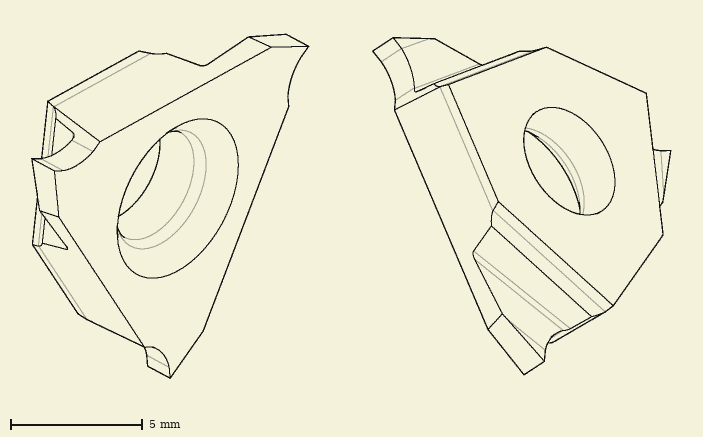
import cadquery as cq
import math

TOOTH_COUNT = 3
THICKNESS = 3.19
WIDTH = 13.79
HEIGHT = 12.69
HOLE_RADIUS = 2.26
SEAT_LEAD_START_DEPTH = 1.82
SEAT_LEAD_END_DEPTH = 2.29
SEAT_ANGLE = 43.0
MARGIN = 4.14

SIN_60 = math.sin(math.radians(60))
TIP_ACROSS = 6.69
TIP_UP = (WIDTH - 1.5 * TIP_ACROSS) / SIN_60
LOWEST_TIP_DROP = TIP_ACROSS * SIN_60 + TIP_UP / 2
SIDE_DISTANCE = HEIGHT - LOWEST_TIP_DROP
END_FACE_ANGLE = 6.2

STRAIGHT_DEPTH = 0.44
SIDE_RELIEF = 4.3

FLANK_START = (3.93, SIDE_DISTANCE)
FLANK_ARC_START = (4.59, 4.25)
FLANK_ARC_MIDDLE = (5.46, 4.03)
FLANK_ARC_END = (6.2, 4.12)

STEP_LEAN = 7.8
STEP_START_ACROSS = 3.82
BEVEL_END = (0.11, 0.41)
SHOULDER_MIDDLE = (0.2, 0.63)
SHOULDER_END = (0.37, 0.83)
WALL_SLOPE = 0.12
FLOOR_CORNER_RADIUS = 0.17

TIP_DEPTH = 1.92
LAND_START = 2.28
RAKE_SLOPE = 0.06
FLOOR_SINK_ANGLE = 4.0


def make_blank():
    """Triangular body with tapered sides and flat top."""
    def triangle(depth):
        return (
            cq.Workplane("YZ", origin=(depth, 0, 0))
            .transformed(rotate=(0, 0, -90))
            .polygon(TOOTH_COUNT, 4 * SIDE_DISTANCE)
        )

    front = triangle(0).extrude(STRAIGHT_DEPTH)
    back = triangle(STRAIGHT_DEPTH).extrude(THICKNESS - STRAIGHT_DEPTH, taper=SIDE_RELIEF)
    return front.union(back)


def yz(point):
    """Section coordinates (across, up) to workplane (Y, Z)."""
    return -point[0], point[1]


def make_corner_cutter():
    """Removes the triangle corner outside the tooth flank and end face."""
    run_down = TIP_UP + MARGIN
    end_across = TIP_ACROSS - run_down * math.tan(math.radians(END_FACE_ANGLE))
    far = TIP_ACROSS + 2 * MARGIN
    return (
        cq.Workplane("YZ")
        .moveTo(*yz(FLANK_START))
        .lineTo(*yz(FLANK_ARC_START))
        .threePointArc(yz(FLANK_ARC_MIDDLE), yz(FLANK_ARC_END))
        .lineTo(*yz((TIP_ACROSS, TIP_UP)))
        .lineTo(*yz((end_across, -MARGIN)))
        .lineTo(*yz((far, -MARGIN)))
        .lineTo(*yz((far, SIDE_DISTANCE + MARGIN)))
        .lineTo(*yz((FLANK_START[0], SIDE_DISTANCE + MARGIN)))
        .close()
        .extrude(THICKNESS)
    )


def make_step_cutter():
    """Removes the front of the tooth down to its wall and rake floor."""
    outer = LAND_START + MARGIN
    length = 2 * (SIDE_DISTANCE + MARGIN)
    wall_end = SHOULDER_END[0] + WALL_SLOPE * (THICKNESS - SHOULDER_END[1])
    walls = (
        cq.Workplane("XY", origin=(0, 0, -length / 2))
        .moveTo(0, 0)
        .lineTo(*BEVEL_END)
        .threePointArc(SHOULDER_MIDDLE, SHOULDER_END)
        .lineTo(wall_end, THICKNESS)
        .lineTo(outer, THICKNESS)
        .lineTo(outer, 0)
        .close()
        .extrude(length)
    )
    inner = -MARGIN
    above_floor = (
        cq.Workplane("XY", origin=(0, 0, -length / 2))
        .moveTo(inner, -MARGIN)
        .lineTo(inner, TIP_DEPTH + RAKE_SLOPE * (LAND_START - inner))
        .lineTo(LAND_START, TIP_DEPTH)
        .lineTo(outer, TIP_DEPTH)
        .lineTo(outer, -MARGIN)
        .close()
        .extrude(length)
        .rotate((0, TIP_DEPTH, 0), (1, TIP_DEPTH, 0), FLOOR_SINK_ANGLE)
    )
    corner = (wall_end, TIP_DEPTH, 0)
    cutter = (
        walls.intersect(above_floor)
        .edges(cq.selectors.NearestToPointSelector(corner))
        .fillet(FLOOR_CORNER_RADIUS)
    )
    start = cq.Vector(0, -STEP_START_ACROSS, SIDE_DISTANCE)
    placement = cq.Plane(origin=start, xDir=(0, -1, 0), normal=(0, 0, 1))
    placed = cq.Workplane(cutter.val().moved(cq.Location(placement)))
    return placed.rotate(start, start + cq.Vector(0.14, 0, 0), -STEP_LEAN)


def make_hole():
    """Through hole with a rounded lead into a conical screw seat at the back."""
    lead_run = SEAT_LEAD_END_DEPTH - SEAT_LEAD_START_DEPTH
    half_angle = math.radians(SEAT_ANGLE / 2)
    lead_end_radius = HOLE_RADIUS + lead_run * math.tan(half_angle)
    cone_run = THICKNESS - SEAT_LEAD_END_DEPTH
    seat_radius = lead_end_radius + cone_run * math.tan(2 * half_angle)
    return (
        cq.Workplane("XY")
        .lineTo(0, HOLE_RADIUS)
        .lineTo(SEAT_LEAD_START_DEPTH, HOLE_RADIUS)
        .tangentArcPoint((SEAT_LEAD_END_DEPTH, lead_end_radius), relative=False)
        .lineTo(THICKNESS, seat_radius)
        .lineTo(THICKNESS, 0)
        .close()
        .revolve(360, (0, 0, 0), (1, 0, 0))
    )


def make_insert():
    body = make_blank()
    for cutter in (make_corner_cutter(), make_step_cutter()):
        for tooth in range(TOOTH_COUNT):
            angle = tooth * 360 / TOOTH_COUNT
            body = body.cut(cutter.rotate((0, 0, 0), (1, 0, 0), angle))
    return body.cut(make_hole())


result = make_insert()